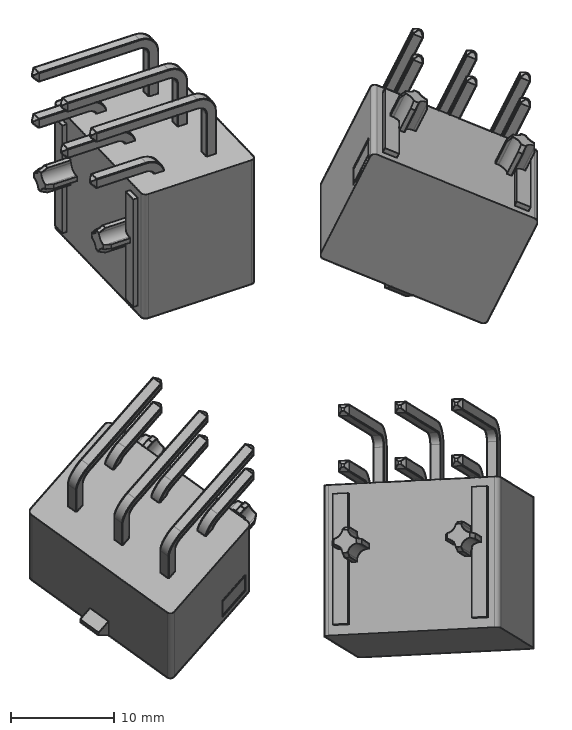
import cadquery as cq
import math


body_width = 17.77
body_depth = 12.5
body_height = 14.82
total_height = 21.95
corner_radius = 0.5

pin_pitch = 5.7
row_spacing = 5.7
level_spacing = 5.51
pin_size = 1.1
pin_edge_chamfer = 0.07
pin_tip_length = 0.4
pin_reach = 4.1
pin_embed = 1.1
bend_radius = 1.54
long_pin_y = 9.03
long_pin_z = total_height - pin_size / 2
short_pin_y = long_pin_y - row_spacing
short_pin_z = long_pin_z - level_spacing

rib_width = 1.5
rib_depth = 0.5
rib_end_gap = 0.99
rib_outer_x = 7.75

peg_z = 8.59
peg_length = 3.34
peg_radius = 1.5
peg_taper_length = 0.72
peg_taper_depth = 0.35
arm_half_width = 0.26
flute_end = 1.19
flute_mid = 0.57

latch_width = 2.28
latch_depth = 1.54
latch_height = 3.2
latch_lip = 0.65

recess_y = 0.9
recess_z = 1.15
recess_width = 3.55
recess_height = 3.47
recess_depth = 0.09


def make_body():
    block = cq.Workplane("XY").box(body_width, body_depth, body_height, centered=(True, False, False))
    return block.edges("|Z").fillet(corner_radius)


def make_pin(x, stem_y, arm_z):
    """Square pin rising from the housing and bending over the mounting face."""
    bend_start_z = arm_z - bend_radius
    stem_start_z = min(body_height, bend_start_z) - pin_embed
    bend_end_y = stem_y - bend_radius
    bend_mid = bend_radius * math.sqrt(0.5)
    path = cq.Workplane("YZ", origin=(x, 0, 0)).moveTo(stem_y, stem_start_z)
    path = path.lineTo(stem_y, bend_start_z)
    path = path.threePointArc((bend_end_y + bend_mid, bend_start_z + bend_mid), (bend_end_y, arm_z))
    path = path.lineTo(pin_tip_length - pin_reach, arm_z)
    section = cq.Sketch().rect(pin_size, pin_size).vertices().chamfer(pin_edge_chamfer)
    start = cq.Workplane("XY", origin=(x, stem_y, stem_start_z))
    bent_bar = start.placeSketch(section).sweep(path)

    arm_end = cq.Workplane("XZ", origin=(x, pin_tip_length - pin_reach, arm_z))
    pyramid = arm_end.rect(pin_size, pin_size).extrude(pin_tip_length, taper=45)
    tip = arm_end.placeSketch(section).extrude(pin_tip_length).intersect(pyramid)
    return bent_bar.union(tip)


def make_rib(side):
    rib_length = body_height - 2 * rib_end_gap
    rib_x = side * (rib_outer_x - rib_width / 2)
    rib = cq.Workplane("XY").box(rib_width, rib_depth, rib_length, centered=(True, False, False))
    return rib.translate((rib_x, -rib_depth, rib_end_gap))


def make_peg(x):
    """Round peg with a tapered tip and four concave flutes that leave a cross."""
    face = cq.Workplane("XZ", origin=(x, 0, peg_z))
    round_peg = face.circle(peg_radius).extrude(peg_length)
    round_peg = round_peg.faces("<Y").chamfer(peg_taper_length, peg_taper_depth)

    cross = face.moveTo(peg_radius, -arm_half_width)
    for cosine, sine in ((1, 0), (0, 1), (-1, 0), (0, -1)):

        def turned(u, v):
            return (u * cosine - v * sine, u * sine + v * cosine)

        cross = cross.lineTo(*turned(peg_radius, arm_half_width))
        cross = cross.lineTo(*turned(flute_end, arm_half_width))
        cross = cross.threePointArc(turned(flute_mid, flute_mid), turned(arm_half_width, flute_end))
        cross = cross.lineTo(*turned(arm_half_width, peg_radius))
    return round_peg.intersect(cross.close().extrude(peg_length))


def make_latch():
    back = body_depth + latch_depth
    profile = [
        (body_depth - corner_radius, 0),
        (body_depth, 0),
        (back, latch_height - latch_lip),
        (back, latch_height),
        (body_depth - corner_radius, latch_height),
    ]
    return cq.Workplane("YZ").polyline(profile).close().extrude(latch_width / 2, both=True)


def make_marking_recess():
    recess = cq.Workplane("XY").box(recess_depth, recess_width, recess_height, centered=False)
    return recess.translate((-body_width / 2, recess_y, recess_z))


result = make_body().cut(make_marking_recess()).union(make_latch())
for side in (-1, 1):
    result = result.union(make_rib(side)).union(make_peg(side * pin_pitch))
for column in (-1, 0, 1):
    result = result.union(make_pin(column * pin_pitch, long_pin_y, long_pin_z))
    result = result.union(make_pin(column * pin_pitch, short_pin_y, short_pin_z))